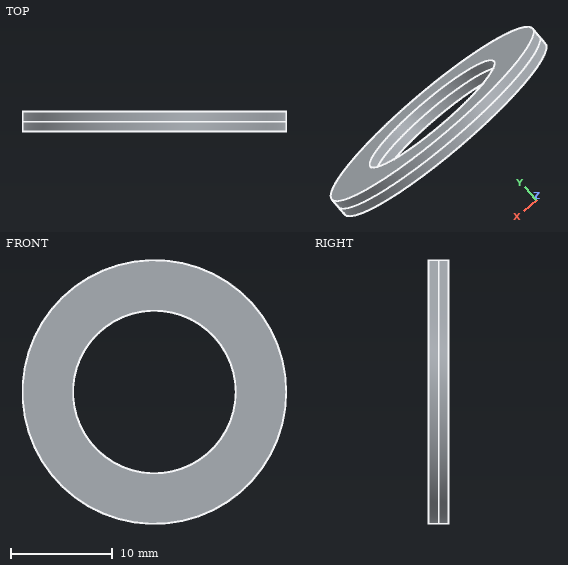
import cadquery as cq

outer_diameter = 26.0
bore_diameter = 16.0
washer_thickness = 1.0
washer_count = 2

stack_thickness = washer_count * washer_thickness


def make_washer(front_y):
    """Flat ring about the Y axis, from its front face at front_y toward +Y."""
    return (
        cq.Workplane("XZ", origin=(0, front_y, 0))
        .circle(outer_diameter / 2)
        .circle(bore_diameter / 2)
        .extrude(-washer_thickness)
    )


washers = []
for index in range(washer_count):
    front_y = -stack_thickness / 2 + index * washer_thickness
    washers.append(make_washer(front_y))

result = cq.Compound.makeCompound([washer.val() for washer in washers])